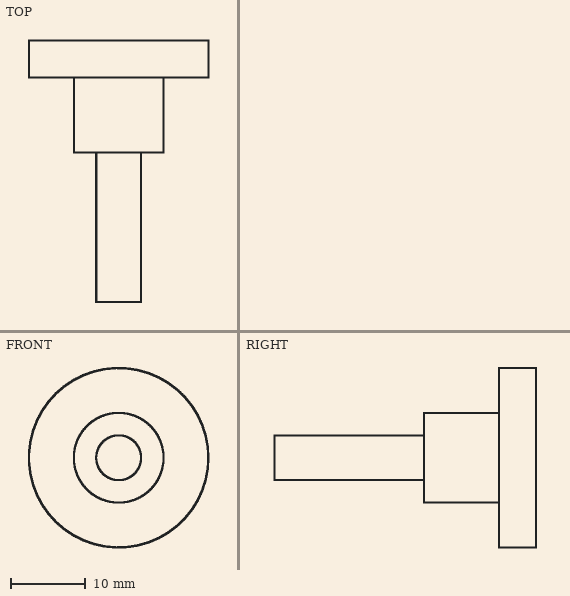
import cadquery as cq

total_length = 35.0
head_diameter = 24.0
head_thickness = 5.0

hub_diameter = head_diameter / 2
hub_length = 2 * head_thickness
pin_diameter = hub_diameter / 2
pin_length = total_length - head_thickness - hub_length


def add_cylinder(body, diameter, length):
    """Stack a coaxial cylinder on the -Y end face of the body."""
    return body.faces("<Y").workplane().circle(diameter / 2).extrude(length)


head = cq.Workplane("XZ").circle(head_diameter / 2).extrude(head_thickness)
head_and_hub = add_cylinder(head, hub_diameter, hub_length)
result = add_cylinder(head_and_hub, pin_diameter, pin_length)